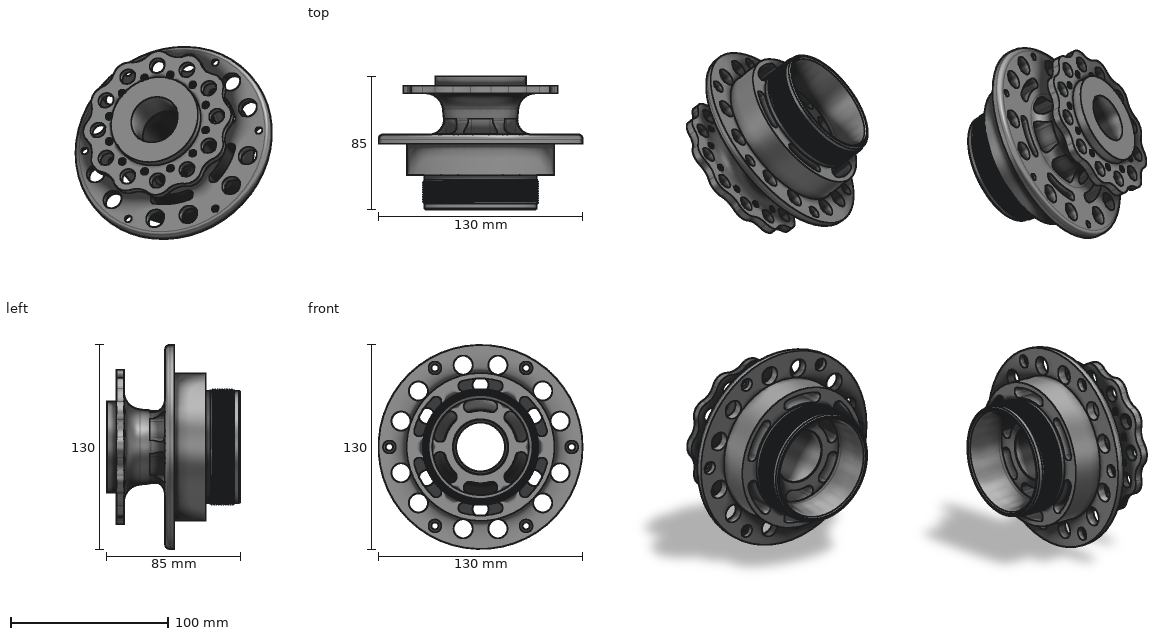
import cadquery as cq
import math


BARREL_END = 22.0
DRUM_END = 42.0
FLANGE_END = 48.0
WINDOW_END = 57.8
NECK_ARC_START = 64.2
DISC_START = 74.0
DISC_END = 79.0
HUB_LENGTH = 85.0

BARREL_RADIUS = 35.9
BARREL_EDGE_CHAMFER = 1.0
DRUM_RADIUS = 47.0
FLANGE_RADIUS = 65.0
FLANGE_EDGE_FILLET = 3.0
FRONT_NECK_ARC = 9.0
NECK_FRONT_RADIUS = 23.5
NECK_REAR_RADIUS = 24.1
REAR_BOSS_RADIUS = 29.0

CUP_FLOOR = 25.0
CUP_FLOOR_RADIUS = 30.7
CUP_STRAIGHT_DEPTH = 2.5
CUP_MOUTH_RADIUS = 33.0
CUP_MOUTH_CHAMFER = 1.0
BEARING_RADIUS = 17.3
BEARING_SEAT_DEPTH = 35.0
BEARING_CHAMFER = 0.4
BORE_RADIUS = 15.5

BARREL_THREAD_START = 3.8
BARREL_THREAD_END = 19.2
BARREL_THREAD_ROOT_RADIUS = 36.0
BARREL_THREAD_PITCH = 1.5
BARREL_THREAD_HEIGHT = 0.7

SLOT_COUNT = 6
DRUM_SLOT_RADIUS = 40.25
DRUM_SLOT_WIDTH = 6.7
DRUM_SLOT_HALF_ANGLE = 15.5
WINDOW_RADIUS = 26.75
WINDOW_WIDTH = 7.5
WINDOW_HALF_ANGLE = 15.0

LIGHTENING_RADIUS = 6.0
LIGHTENING_PITCH_RADIUS = 53.2
LIGHTENING_OFFSET_ANGLE = 12.0
SPOKE_HOLE_RADIUS = 2.25
SPOKE_PITCH_RADIUS = 58.0
SPOKE_COUNTERBORE_RADIUS = 4.1
SPOKE_COUNTERBORE_DEPTH = 4.0

LOBE_COUNT = 12
LOBE_STEP = 360.0 / LOBE_COUNT
LOBE_PITCH_RADIUS = 39.5
LOBE_ARC = 9.75
LOBE_TANGENT_ANGLE = 42.0
LOBE_HOLE_RADIUS = 5.0
SCREW_PITCH_RADIUS = 33.2
SCREW_CORE_RADIUS = 2.0
SCREW_THREAD_HEIGHT = 0.4
SCREW_THREAD_PITCH = 0.8
DISC_HOLE_OVERRUN = 0.8

THREAD_ROOT_RATIO = 0.85
THREAD_OVERLAP = 0.05


def polar(radius, angle):
    """Point at a radius, with the angle measured from +Z towards +X."""
    a = math.radians(angle)
    return radius * math.sin(a), radius * math.cos(a)


def face_plane(y):
    """Sketch plane square to the hub axis; a negative extrusion runs towards +Y."""
    return cq.Workplane("XZ", origin=(0, y, 0))


def rod(radius, center, y_start, y_end):
    """Cylinder parallel to the hub axis."""
    return face_plane(y_start).center(*center).circle(radius).extrude(y_start - y_end)


def ring_of(shape, count, first_angle=0.0):
    """Copies of a shape, evenly spaced about the hub axis."""
    copies = cq.Workplane()
    for i in range(count):
        angle = first_angle + i * 360.0 / count
        copies = copies.add(shape.rotate((0, 0, 0), (0, 1, 0), angle))
    return copies


def cut_all(body, copies):
    return body.cut(cq.Workplane(cq.Compound.makeCompound(copies.vals())))


def curved_slot(radius, width, half_angle, y_start, y_end):
    """Round-ended slot that follows a circle about the hub axis, centred above it."""
    half = width / 2
    inner = radius - half
    outer = radius + half
    return (
        face_plane(y_start)
        .moveTo(*polar(inner, -half_angle))
        .threePointArc((0, inner), polar(inner, half_angle))
        .tangentArcPoint(polar(outer, half_angle), relative=False)
        .threePointArc((0, outer), polar(outer, -half_angle))
        .tangentArcPoint(polar(inner, -half_angle), relative=False)
        .close()
        .extrude(y_start - y_end)
    )


def thread_ridge(root_radius, height, pitch, y_start, y_end):
    """Helical V-shaped ridge about the hub axis, sunk slightly into its root cylinder."""
    half_root = THREAD_ROOT_RATIO * pitch / 2
    base_radius = root_radius - THREAD_OVERLAP
    path_length = y_end - y_start - 2 * half_root
    path = cq.Workplane(cq.Wire.makeHelix(pitch, path_length, base_radius))
    ridge = (
        cq.Workplane("XZ")
        .moveTo(base_radius, -half_root)
        .lineTo(base_radius, half_root)
        .lineTo(root_radius + height, 0)
        .close()
        .sweep(path, isFrenet=True)
    )
    return ridge.rotate((0, 0, 0), (1, 0, 0), -90).translate((0, y_start + half_root, 0))


def hub_body():
    """Turned outside shape: barrel, drum, flange, waisted neck and rear boss."""
    diagonal = math.sqrt(0.5)
    front_arc_center = NECK_FRONT_RADIUS + FRONT_NECK_ARC
    taper = math.atan2(NECK_REAR_RADIUS - NECK_FRONT_RADIUS, NECK_ARC_START - WINDOW_END)
    rear_arc = (DISC_START - NECK_ARC_START) / (1 - math.sin(taper))
    rear_arc_end = NECK_REAR_RADIUS + rear_arc * math.cos(taper)
    fillet_center = FLANGE_RADIUS - FLANGE_EDGE_FILLET
    front_arc_start = FLANGE_END + FRONT_NECK_ARC
    return (
        cq.Workplane("XY")
        .moveTo(0, 0)
        .lineTo(BARREL_RADIUS - BARREL_EDGE_CHAMFER, 0)
        .lineTo(BARREL_RADIUS, BARREL_EDGE_CHAMFER)
        .lineTo(BARREL_RADIUS, BARREL_THREAD_START)
        .lineTo(BARREL_THREAD_ROOT_RADIUS, BARREL_THREAD_START)
        .lineTo(BARREL_THREAD_ROOT_RADIUS, BARREL_THREAD_END)
        .lineTo(BARREL_RADIUS, BARREL_THREAD_END)
        .lineTo(BARREL_RADIUS, BARREL_END)
        .lineTo(DRUM_RADIUS, BARREL_END)
        .lineTo(DRUM_RADIUS, DRUM_END)
        .lineTo(FLANGE_RADIUS, DRUM_END)
        .lineTo(FLANGE_RADIUS, FLANGE_END - FLANGE_EDGE_FILLET)
        .threePointArc(
            (
                fillet_center + FLANGE_EDGE_FILLET * diagonal,
                FLANGE_END - FLANGE_EDGE_FILLET * (1 - diagonal),
            ),
            (fillet_center, FLANGE_END),
        )
        .lineTo(front_arc_center, FLANGE_END)
        .threePointArc(
            (
                front_arc_center - FRONT_NECK_ARC * diagonal,
                front_arc_start - FRONT_NECK_ARC * diagonal,
            ),
            (NECK_FRONT_RADIUS, front_arc_start),
        )
        .lineTo(NECK_FRONT_RADIUS, WINDOW_END)
        .lineTo(NECK_REAR_RADIUS, NECK_ARC_START)
        .tangentArcPoint((rear_arc_end, DISC_START), relative=False)
        .lineTo(rear_arc_end, DISC_END)
        .lineTo(REAR_BOSS_RADIUS, DISC_END)
        .lineTo(REAR_BOSS_RADIUS, HUB_LENGTH)
        .lineTo(0, HUB_LENGTH)
        .close()
        .revolve(360, (0, 0), (0, 1))
    )


def hub_cavity():
    """Turned inside shape: tapered cup, bearing seat and through bore."""
    seat_end = CUP_FLOOR + BEARING_SEAT_DEPTH
    return (
        cq.Workplane("XY")
        .moveTo(0, 0)
        .lineTo(CUP_MOUTH_RADIUS + CUP_MOUTH_CHAMFER, 0)
        .lineTo(CUP_MOUTH_RADIUS, CUP_MOUTH_CHAMFER)
        .lineTo(CUP_FLOOR_RADIUS, CUP_FLOOR - CUP_STRAIGHT_DEPTH)
        .lineTo(CUP_FLOOR_RADIUS, CUP_FLOOR)
        .lineTo(BEARING_RADIUS + BEARING_CHAMFER, CUP_FLOOR)
        .lineTo(BEARING_RADIUS, CUP_FLOOR + BEARING_CHAMFER)
        .lineTo(BEARING_RADIUS, seat_end)
        .lineTo(BORE_RADIUS, seat_end)
        .lineTo(BORE_RADIUS, HUB_LENGTH)
        .lineTo(0, HUB_LENGTH)
        .close()
        .revolve(360, (0, 0), (0, 1))
    )


def lobed_disc():
    """Disc whose rim alternates lobes and valleys that meet tangentially."""
    turn = math.radians(LOBE_TANGENT_ANGLE)
    tangent_x = LOBE_ARC * math.sin(turn)
    tangent_z = LOBE_PITCH_RADIUS + LOBE_ARC * math.cos(turn)
    tangent_radius = math.hypot(tangent_x, tangent_z)
    tangent_angle = math.degrees(math.atan2(tangent_x, tangent_z))

    valley_half_chord = tangent_radius * math.sin(math.radians(LOBE_STEP / 2 - tangent_angle))
    valley_turn = math.radians(LOBE_TANGENT_ANGLE - LOBE_STEP / 2)
    valley_sag = valley_half_chord * math.tan(valley_turn / 2)
    chord_radius = tangent_radius * math.cos(math.radians(LOBE_STEP / 2 - tangent_angle))
    valley_radius = chord_radius - valley_sag

    rim = face_plane(DISC_START).moveTo(*polar(tangent_radius, -tangent_angle))
    for i in range(LOBE_COUNT):
        lobe = i * LOBE_STEP
        valley = lobe + LOBE_STEP / 2
        next_lobe = lobe + LOBE_STEP
        rim = rim.threePointArc(
            polar(LOBE_PITCH_RADIUS + LOBE_ARC, lobe),
            polar(tangent_radius, lobe + tangent_angle),
        )
        rim = rim.threePointArc(
            polar(valley_radius, valley),
            polar(tangent_radius, next_lobe - tangent_angle),
        )
    return rim.close().extrude(DISC_START - DISC_END)


def cut_slots(body):
    """Slots through drum and flange, and windows from the cup floor out through the neck."""
    drum_slot = curved_slot(DRUM_SLOT_RADIUS, DRUM_SLOT_WIDTH, DRUM_SLOT_HALF_ANGLE, BARREL_END, FLANGE_END)
    window = curved_slot(WINDOW_RADIUS, WINDOW_WIDTH, WINDOW_HALF_ANGLE, CUP_FLOOR, WINDOW_END)
    body = cut_all(body, ring_of(drum_slot, SLOT_COUNT))
    return cut_all(body, ring_of(window, SLOT_COUNT))


def cut_flange_holes(body):
    """Pairs of lightening holes, with a counterbored hole between neighbouring pairs."""
    lightening = rod(LIGHTENING_RADIUS, (0, LIGHTENING_PITCH_RADIUS), DRUM_END, FLANGE_END)
    for side in (-1, 1):
        body = cut_all(body, ring_of(lightening, SLOT_COUNT, side * LIGHTENING_OFFSET_ANGLE))

    center = (SPOKE_PITCH_RADIUS, 0)
    counterbore_floor = DRUM_END + SPOKE_COUNTERBORE_DEPTH
    hole = rod(SPOKE_HOLE_RADIUS, center, DRUM_END, FLANGE_END)
    hole = hole.union(rod(SPOKE_COUNTERBORE_RADIUS, center, DRUM_END, counterbore_floor))
    return cut_all(body, ring_of(hole, SLOT_COUNT))


def cut_disc_holes(body):
    """A plain hole in every lobe and a threaded hole inboard of every valley."""
    hole_front = DISC_START - DISC_HOLE_OVERRUN
    hole_back = DISC_END + DISC_HOLE_OVERRUN
    lobe_hole = rod(LOBE_HOLE_RADIUS, (0, LOBE_PITCH_RADIUS), hole_front, hole_back)
    body = cut_all(body, ring_of(lobe_hole, LOBE_COUNT))

    tap = rod(SCREW_CORE_RADIUS, (0, 0), hole_front, hole_back)
    tap = tap.union(
        thread_ridge(SCREW_CORE_RADIUS, SCREW_THREAD_HEIGHT, SCREW_THREAD_PITCH, hole_front, hole_back)
    )
    tap = tap.translate((0, 0, SCREW_PITCH_RADIUS))
    return cut_all(body, ring_of(tap, LOBE_COUNT, LOBE_STEP / 2))


result = hub_body().union(lobed_disc()).cut(hub_cavity())
result = cut_slots(result)
result = cut_flange_holes(result)
result = cut_disc_holes(result)
result = result.union(
    thread_ridge(
        BARREL_THREAD_ROOT_RADIUS,
        BARREL_THREAD_HEIGHT,
        BARREL_THREAD_PITCH,
        BARREL_THREAD_START,
        BARREL_THREAD_END,
    )
)